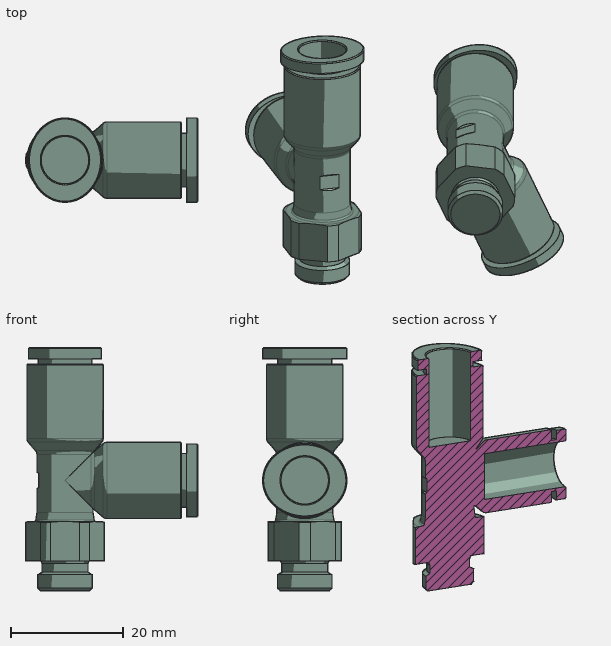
import cadquery as cq
import math


port_reach = 23.6
release_ring_long = 15.0
release_ring_short = 13.0
release_ring_thickness = 2.0
release_ring_edge = 0.2
release_neck_radius = 4.8
body_radius = 6.8
body_end = 20.7
body_end_edge = 0.2
bore_radius = 4.2
bore_mouth_chamfer = 0.2
bore_depth = 16.5

stem_radius = 5.0
shoulder_outer = 7.06
shoulder_slope = math.radians(41)
shoulder_inner = shoulder_outer - (body_radius - stem_radius) / math.tan(shoulder_slope)
shoulder_blend_radius = 1.0

foot_top = -5.7
foot_radius = 5.2
foot_blend_radius = 0.3
hex_top = -7.3
foot_flare_bottom = hex_top + foot_blend_radius

hex_height = 7.0
hex_bottom = hex_top - hex_height
hex_across_flats = 13.0
hex_corner_radius = 7.0
hex_top_chamfer_radius = 6.5
hex_top_chamfer_drop = 0.15

thread_bottom = -19.6
thread_radius = 4.87
thread_lead_in = 0.5
thread_top = -16.75
relief_radius = 4.1
relief_top = -14.8
relief_bottom = -16.3
relief_root_radius = 4.3

recess_flat = 4.67
recess_floor_height = 2.5
recess_mouth_height = 3.0


def revolve_profile(points):
    """Revolve a (radius, height) outline about the Z axis."""
    outline = cq.Workplane("XZ").polyline(points).close()
    return outline.revolve(360, (0, 0, 0), (0, 1, 0))


def make_port_outside():
    """Upright port: stem, tapered shoulder, body, neck and oval release ring."""
    ring_base = port_reach - release_ring_thickness
    blend = shoulder_blend_radius * math.tan(shoulder_slope / 2)
    blend_radial = blend * math.sin(shoulder_slope)
    blend_axial = blend * math.cos(shoulder_slope)
    bulge = shoulder_blend_radius * (1 - math.cos(shoulder_slope / 2))
    rise = shoulder_blend_radius * math.sin(shoulder_slope / 2)

    turned = (
        cq.Workplane("XZ")
        .moveTo(0, 0)
        .lineTo(stem_radius, 0)
        .lineTo(stem_radius, shoulder_inner - blend)
        .threePointArc(
            (stem_radius + bulge, shoulder_inner - blend + rise),
            (stem_radius + blend_radial, shoulder_inner + blend_axial),
        )
        .lineTo(body_radius - blend_radial, shoulder_outer - blend_axial)
        .threePointArc(
            (body_radius - bulge, shoulder_outer + blend - rise),
            (body_radius, shoulder_outer + blend),
        )
        .lineTo(body_radius, body_end - body_end_edge)
        .lineTo(body_radius - body_end_edge, body_end)
        .lineTo(release_neck_radius, body_end)
        .lineTo(release_neck_radius, ring_base)
        .lineTo(0, ring_base)
        .close()
        .revolve(360, (0, 0, 0), (0, 1, 0))
    )
    release_ring = (
        cq.Workplane("XY", origin=(0, 0, ring_base))
        .ellipse(release_ring_short / 2, release_ring_long / 2)
        .extrude(release_ring_thickness)
        .faces(">Z")
        .chamfer(release_ring_edge)
    )
    return turned.union(release_ring)


def make_port_bore():
    """Blind tube bore with a chamfered mouth, for an upright port."""
    floor = port_reach - bore_depth
    return revolve_profile([
        (0, floor),
        (bore_radius, floor),
        (bore_radius, port_reach - bore_mouth_chamfer),
        (bore_radius + bore_mouth_chamfer, port_reach),
        (0, port_reach),
    ])


def turn_to_branch(port):
    """Swing an upright port down onto the +X axis."""
    return port.rotate((0, 0, 0), (0, 1, 0), 90)


def make_lower_stem():
    """Stem below the crossing, with a flared foot blended onto the top of the nut."""
    blend_centre_radius = foot_radius + foot_blend_radius
    blend_offset = foot_blend_radius * math.sin(math.radians(45))
    return (
        cq.Workplane("XZ")
        .moveTo(0, 0)
        .lineTo(stem_radius, 0)
        .lineTo(stem_radius, foot_top)
        .lineTo(foot_radius, foot_flare_bottom)
        .threePointArc(
            (blend_centre_radius - blend_offset, foot_flare_bottom - blend_offset),
            (blend_centre_radius, hex_top),
        )
        .lineTo(0, hex_top)
        .close()
        .revolve(360, (0, 0, 0), (0, 1, 0))
    )


def make_hex_nut():
    """Hexagon with flats facing +Y and -Y, corners rounded and top edge chamfered."""
    across_corners = hex_across_flats / math.cos(math.radians(30))
    hexagon = (
        cq.Workplane("XY", origin=(0, 0, hex_bottom))
        .polygon(6, across_corners)
        .extrude(hex_height)
    )
    corner_limit = revolve_profile([
        (0, hex_bottom),
        (hex_corner_radius, hex_bottom),
        (hex_corner_radius, hex_top - hex_top_chamfer_drop),
        (hex_top_chamfer_radius, hex_top),
        (0, hex_top),
    ])
    return hexagon.intersect(corner_limit)


def make_threaded_end():
    """Plain thread cylinder with a chamfered end and a relief under the nut."""
    return revolve_profile([
        (0, hex_bottom),
        (relief_root_radius, hex_bottom),
        (relief_radius, relief_top),
        (relief_radius, relief_bottom),
        (thread_radius, thread_top),
        (thread_radius, thread_bottom + thread_lead_in),
        (thread_radius - thread_lead_in, thread_bottom),
        (0, thread_bottom),
    ])


def make_recess():
    """Cutter for the recess: flat floor, upper and lower walls sloping outward."""
    floor_half = recess_floor_height / 2
    mouth_half = recess_mouth_height / 2
    profile = [
        (-recess_flat, -floor_half),
        (-stem_radius, -mouth_half),
        (-stem_radius, mouth_half),
        (-recess_flat, floor_half),
    ]
    return cq.Workplane("XZ").polyline(profile).close().extrude(stem_radius, both=True)


port_outside = make_port_outside()
port_bore = make_port_bore()

result = (
    port_outside
    .union(turn_to_branch(port_outside))
    .union(make_lower_stem())
    .union(make_hex_nut())
    .union(make_threaded_end())
    .cut(port_bore)
    .cut(turn_to_branch(port_bore))
    .cut(make_recess())
)